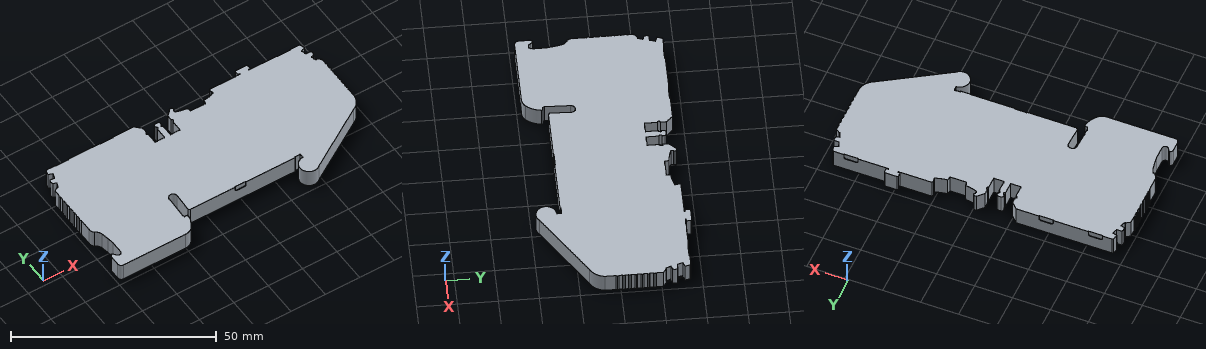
import cadquery as cq

thickness = 5.2
top_y = 36.1
left_x = 0.4
end_mirror_x = 39.25
right_x = 2 * end_mirror_x - left_x

foot_corner_radius = 1.0
foot_toe_x = 19.1
foot_heel = (22.95, 4.55)
slot_radius = 1.1
slot_center = (23.2, 11.7)
underside_y = 6.1

nose_center = (56.65, 2.7)
nose_radius = 2.5
nose_recess_y = 6.35
nose_recess_length = 1.6

rib_count = 7
rib_first_y = 18.0
rib_last_y = 27.1
rib_height = 0.2
rib_width = 0.7

bridge_floor_y = 29.1
bridge_left_x = 29.5
bridge_right_x = 36.7
bridge_chamfer = 1.65
finger_left_x = 32.2
finger_right_x = 33.9
finger_top_y = 34.0
finger_round = 0.5
detent_y = 32.6
detent_radius = 0.35

seat_middle_x = 44.4
seat_floor_y = 32.8
seat_floor_half = 2.2
seat_step_y = 33.9
seat_step_half = 2.35
seat_lip_half = 5.6

tab_left_x = 58.3
tab_width = 3.7
tab_top_y = 37.7
tab_base_z = 0.2
tab_chamfer = 0.2
tab_undercut_depth = 0.55
tab_undercut_height = 0.15

pocket_depth = 0.15
pocket_height = 1.5
pocket_chamfer = 0.3
top_pocket_width = 3.7
top_pocket_centers = (6.9, 19.9, 71.4)
bottom_pocket_width = 3.1
bottom_pocket_center = 39.2

ledge_width = 0.2
ledge_height = 0.5

notch_2_wall = ((1.7, 29.9), (2.2, 31.2))
notch_1_wall = ((2.7, 32.8), (3.05, 34.2))
clip_lower = [(left_x, 29.2), (1.5, 30.0), *notch_2_wall, (1.3, 31.5)]
clip_tooth_tip = (1.1, 32.2)
clip_upper = [(1.3, 32.8), *notch_1_wall, (1.9, 34.6), (2.2, 35.9), (2.5, top_y)]


def mirrored(point, axis_x):
    """Mirror a point about the line x = axis_x."""
    return (2 * axis_x - point[0], point[1])


def add_lines(sketch, points):
    for point in points:
        sketch = sketch.lineTo(*point)
    return sketch


def add_left_side(sketch):
    """Hook, curved waist and clip end, going up the left side."""
    sketch = sketch.lineTo(0, 3.7)
    sketch = sketch.threePointArc((0.2, 4.3), (0.7, 4.55))
    sketch = sketch.lineTo(1.25, 3.85)
    sketch = sketch.threePointArc((1.95, 3.3), (2.8, 4.1))
    sketch = add_lines(sketch, [(2.8, 7.45), (2.6, 9.2), (2.2, 11.3)])
    sketch = sketch.threePointArc((1.7, 12.2), (0.95, 12.8))
    sketch = sketch.threePointArc((0.55, 13.3), (left_x, 14.35))
    sketch = add_lines(sketch, clip_lower)
    sketch = sketch.threePointArc(clip_tooth_tip, clip_upper[0])
    return add_lines(sketch, clip_upper[1:])


def add_bridge_slots(sketch):
    """Two slots with a round-cornered finger between them."""
    shoulder_y = top_y - bridge_chamfer
    finger_side_y = finger_top_y - finger_round
    sketch = add_lines(sketch, [
        (bridge_left_x - bridge_chamfer, top_y),
        (bridge_left_x, shoulder_y),
        (bridge_left_x, bridge_floor_y),
        (finger_left_x, bridge_floor_y),
        (finger_left_x, finger_side_y),
    ])
    sketch = sketch.tangentArcPoint((finger_left_x + finger_round, finger_top_y), relative=False)
    sketch = sketch.lineTo(finger_right_x - finger_round, finger_top_y)
    sketch = sketch.tangentArcPoint((finger_right_x, finger_side_y), relative=False)
    return add_lines(sketch, [
        (finger_right_x, bridge_floor_y),
        (bridge_right_x, bridge_floor_y),
        (bridge_right_x, shoulder_y),
        (bridge_right_x + bridge_chamfer, top_y),
    ])


def add_marker_seat(sketch):
    """Stepped recess with curved shoulders and a small lip at each side."""
    shoulder_start = (seat_middle_x - seat_lip_half, 34.6)
    shoulder_middle = (40.4, 34.2)
    left_half = [
        (seat_middle_x - seat_lip_half, top_y),
        (39.2, 35.65),
        (38.95, 35.3),
        shoulder_start,
    ]
    step = [
        (seat_middle_x - seat_step_half, seat_step_y),
        (seat_middle_x - seat_floor_half, seat_floor_y),
    ]
    sketch = add_lines(sketch, left_half)
    sketch = sketch.threePointArc(shoulder_middle, step[0])
    sketch = sketch.lineTo(*step[1])
    sketch = add_lines(sketch, [mirrored(point, seat_middle_x) for point in reversed(step)])
    sketch = sketch.threePointArc(
        mirrored(shoulder_middle, seat_middle_x),
        mirrored(shoulder_start, seat_middle_x),
    )
    return add_lines(sketch, [mirrored(point, seat_middle_x) for point in reversed(left_half[:-1])])


def add_right_side(sketch):
    """Clip end, rounded corner, sloping flank and round nose, going down the right side."""
    sketch = add_lines(sketch, [mirrored(point, end_mirror_x) for point in reversed(clip_upper)])
    sketch = sketch.threePointArc(
        mirrored(clip_tooth_tip, end_mirror_x),
        mirrored(clip_lower[-1], end_mirror_x),
    )
    sketch = add_lines(sketch, [mirrored(point, end_mirror_x) for point in reversed(clip_lower[:-1])])
    sketch = sketch.lineTo(right_x, 14.9)
    sketch = sketch.threePointArc((77.3, 12.8), (75.5, 11.4))
    nose_x, nose_y = nose_center
    sketch = sketch.lineTo(58.5, 0.8)
    sketch = sketch.threePointArc((nose_x - nose_radius, nose_y), (nose_x, nose_y + nose_radius))
    return add_lines(sketch, [
        (nose_x, nose_recess_y),
        (nose_x - nose_recess_length, nose_recess_y),
        (nose_x - nose_recess_length, underside_y),
    ])


def add_rail_slot_and_foot(sketch):
    """Underside, round-ended rail slot and the rounded toe of the left foot."""
    slot_x, slot_y = slot_center
    sketch = add_lines(sketch, [
        (24.5, underside_y),
        (24.05, underside_y + 0.2),
        (slot_x + slot_radius, slot_y),
    ])
    sketch = sketch.threePointArc((slot_x, slot_y + slot_radius), (slot_x - slot_radius, slot_y))
    sketch = add_lines(sketch, [(21.9, 5.4), (22.1, 4.9), (22.9, 4.9), foot_heel])
    sketch = sketch.threePointArc((22.4, 2.6), (21.2, 0.9))
    return sketch.threePointArc((20.3, 0.2), (foot_toe_x, 0))


def make_housing():
    sketch = cq.Workplane("XY").moveTo(foot_corner_radius, 0)
    sketch = sketch.radiusArc((0, foot_corner_radius), foot_corner_radius)
    sketch = add_left_side(sketch)
    sketch = add_bridge_slots(sketch)
    sketch = add_marker_seat(sketch)
    sketch = add_right_side(sketch)
    sketch = add_rail_slot_and_foot(sketch)
    return sketch.close().extrude(thickness)


def make_ribs():
    """Triangular grip ribs on both ends."""
    rib_pitch = (rib_last_y - rib_first_y) / (rib_count - 1)
    ribs = []
    for index in range(rib_count):
        y = rib_first_y + index * rib_pitch
        for side_x, outward in ((left_x, -1), (right_x, 1)):
            rib = (
                cq.Workplane("XY")
                .moveTo(side_x, y - rib_width / 2)
                .lineTo(side_x + outward * rib_height, y)
                .lineTo(side_x, y + rib_width / 2)
                .close()
                .extrude(thickness)
            )
            ribs.append(rib)
    return ribs


def make_detents():
    """Small round grooves in the four walls of the bridge slots."""
    walls = (bridge_left_x, finger_left_x, finger_right_x, bridge_right_x)
    centers = [(x, detent_y) for x in walls]
    return cq.Workplane("XY").pushPoints(centers).circle(detent_radius).extrude(thickness)


def make_tab():
    """Tab with a small undercut at each side of its root."""
    height = tab_top_y - top_y
    tab = (
        cq.Workplane("XY")
        .box(tab_width, 2 * height, thickness - tab_base_z, centered=(False, True, False))
        .edges("|Z and >Y")
        .chamfer(tab_chamfer)
        .translate((tab_left_x, top_y, tab_base_z))
    )
    undercut_y = top_y + tab_undercut_height / 2
    sides = [(tab_left_x, undercut_y), (tab_left_x + tab_width, undercut_y)]
    undercuts = (
        cq.Workplane("XY")
        .pushPoints(sides)
        .rect(2 * tab_undercut_depth, tab_undercut_height)
        .extrude(thickness)
    )
    return tab.cut(undercuts)


def make_pocket(center_x, edge_y, width):
    """Pocket cutter centred on an edge, with its two lower corners chamfered."""
    return (
        cq.Workplane("XY")
        .box(width, 2 * pocket_depth, pocket_height, centered=(True, True, False))
        .edges("|Y and <Z")
        .chamfer(pocket_chamfer)
        .translate((center_x, edge_y, thickness - pocket_height))
    )


def make_ledge(wall, axis_x=None):
    """Thin strip along a notch wall; mirrored about axis_x when given."""
    (x0, y0), (x1, y1) = wall
    points = [(x0, y0), (x1, y1), (x1 - ledge_width, y1), (x0 - ledge_width, y0)]
    if axis_x is not None:
        points = [mirrored(point, axis_x) for point in points]
    return cq.Workplane("XY").polyline(points).close().extrude(ledge_height)


result = make_housing().cut(make_detents()).union(make_tab())
for rib in make_ribs():
    result = result.union(rib)
for notch_wall in (notch_1_wall, notch_2_wall):
    result = result.union(make_ledge(notch_wall)).union(make_ledge(notch_wall, end_mirror_x))
for pocket_x in top_pocket_centers:
    result = result.cut(make_pocket(pocket_x, top_y, top_pocket_width))
result = result.cut(make_pocket(bottom_pocket_center, underside_y, bottom_pocket_width))